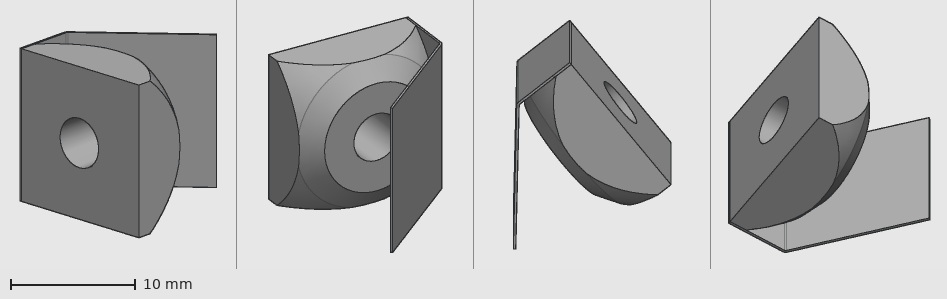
import cadquery as cq
import math

width = 13.0
total_depth = 13.21
half_width = width / 2

block_depth = 6.0
hole_diameter = 4.2
crown_radius = 4.83
shoulder_radius = 6.67
shoulder_depth = 4.72
flank_middle_radius = 8.08
flank_middle_depth = 3.03
foot_radius = 9.31
foot_depth = 1.11

strip_thickness = 0.2
wall_depth = 5.25
bend_outer_radius = 0.4
leaf_angle = 40.0
bend_angle = 90.0 - leaf_angle


def make_block():
    """Crowned square block with a through hole, ending at the strip's inner face."""
    crowned_body = (
        cq.Workplane("XY")
        .moveTo(0, 0)
        .lineTo(0, block_depth)
        .lineTo(crown_radius, block_depth)
        .lineTo(shoulder_radius, shoulder_depth)
        .threePointArc((flank_middle_radius, flank_middle_depth), (foot_radius, foot_depth))
        .lineTo(foot_radius, 0)
        .close()
        .revolve(360, (0, 0, 0), (0, 1, 0))
    )
    square_prism = cq.Workplane("XY").box(
        width - strip_thickness, block_depth, width, centered=(False, False, True)
    ).translate((strip_thickness - half_width, 0, 0))
    hole = cq.Workplane("XZ").circle(hole_diameter / 2).extrude(-block_depth)
    return crowned_body.intersect(square_prism).cut(hole).solids()


def make_strip():
    """Strip of constant thickness, bent over the rear of the block."""
    bend_center_x = bend_outer_radius - half_width
    bend_inner_radius = bend_outer_radius - strip_thickness

    def bend_point(radius, angle):
        turn = math.radians(angle)
        return (bend_center_x - radius * math.cos(turn), wall_depth + radius * math.sin(turn))

    outer_bend_end = bend_point(bend_outer_radius, bend_angle)
    inner_bend_end = bend_point(bend_inner_radius, bend_angle)
    slope = math.radians(leaf_angle)
    leaf_length = (total_depth - outer_bend_end[1]) / math.sin(slope)
    leaf_x = leaf_length * math.cos(slope)
    leaf_y = leaf_length * math.sin(slope)

    return (
        cq.Workplane("XY")
        .workplane(offset=-half_width)
        .moveTo(-half_width, 0)
        .lineTo(-half_width, wall_depth)
        .threePointArc(bend_point(bend_outer_radius, bend_angle / 2), outer_bend_end)
        .lineTo(outer_bend_end[0] + leaf_x, total_depth)
        .lineTo(inner_bend_end[0] + leaf_x, inner_bend_end[1] + leaf_y)
        .lineTo(*inner_bend_end)
        .threePointArc(
            bend_point(bend_inner_radius, bend_angle / 2),
            (strip_thickness - half_width, wall_depth),
        )
        .lineTo(strip_thickness - half_width, 0)
        .close()
        .extrude(width)
    )


block = make_block()
strip = make_strip()
result = cq.Compound.makeCompound([block.val(), strip.val()])